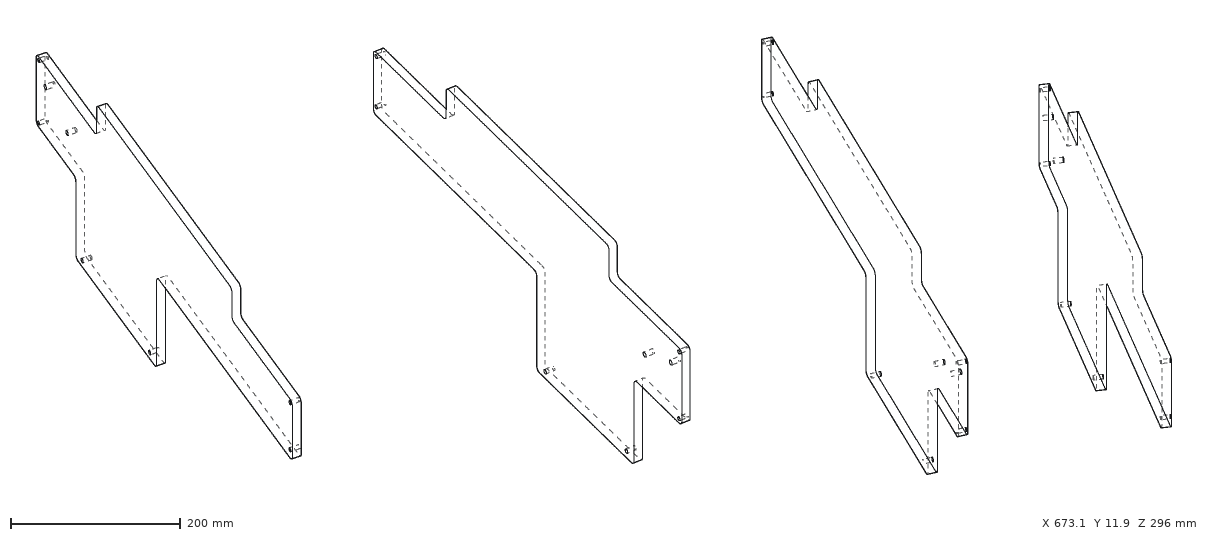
import cadquery as cq

length = 673.1
thickness = 11.91
height = 296.04

crown_width = 355.6
crown_height = 50.8

left_arm_height = 114.3
right_arm_height = 96

tab_offset = 104.0
tab_width = 212.7

corner_radius = 6.35

corner_hole_diameter = 5.0
tab_hole_diameter = 5.6
arm_hole_diameter = 6.35
corner_hole_inset = 6.35
left_lower_hole_rise = 6.35
right_lower_hole_rise = 13.2
tab_hole_rise = 10.2
tab_hole_left_inset = 16.7
tab_hole_right_inset = 18.5
arm_hole_offsets = [(24.1, 34.7), (81.0, 61.2)]

left = -length / 2
right = length / 2
top = height / 2
bottom = -height / 2
shoulder = top - crown_height
left_arm_bottom = shoulder - left_arm_height
right_arm_bottom = shoulder - right_arm_height
crown_left = -crown_width / 2
crown_right = crown_width / 2
tab_left = left + tab_offset
tab_right = tab_left + tab_width


def make_plate():
    """Flat plate in the XZ plane, centred on Y, with rounded corners."""
    outline = [
        (left, shoulder),
        (crown_left, shoulder),
        (crown_left, top),
        (crown_right, top),
        (crown_right, shoulder),
        (right, shoulder),
        (right, right_arm_bottom),
        (tab_right, right_arm_bottom),
        (tab_right, bottom),
        (tab_left, bottom),
        (tab_left, left_arm_bottom),
        (left, left_arm_bottom),
    ]
    plate = cq.Workplane("XZ").polyline(outline).close().extrude(thickness / 2, both=True)
    return plate.edges("|Y").fillet(corner_radius)


def drill(plate, centres, diameter):
    """Cut through holes along Y at the given (x, z) centres."""
    holes = cq.Workplane("XZ").pushPoints(centres).circle(diameter / 2)
    return plate.cut(holes.extrude(thickness, both=True))


corner_holes = [
    (left + corner_hole_inset, shoulder - corner_hole_inset),
    (right - corner_hole_inset, shoulder - corner_hole_inset),
    (left + corner_hole_inset, left_arm_bottom + left_lower_hole_rise),
    (right - corner_hole_inset, right_arm_bottom + right_lower_hole_rise),
]
tab_holes = [
    (tab_left + tab_hole_left_inset, bottom + tab_hole_rise),
    (tab_right - tab_hole_right_inset, bottom + tab_hole_rise),
]
arm_holes = [(left + inset, shoulder - drop) for inset, drop in arm_hole_offsets]

result = make_plate()
result = drill(result, corner_holes, corner_hole_diameter)
result = drill(result, tab_holes, tab_hole_diameter)
result = drill(result, arm_holes, arm_hole_diameter)